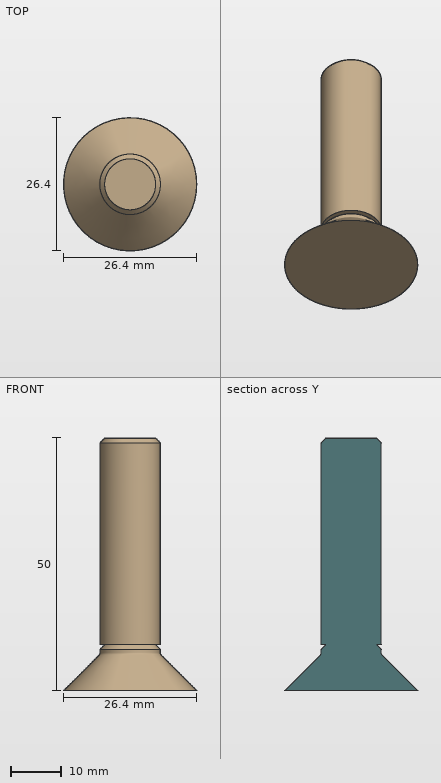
import cadquery as cq
import math

total_length = 50.0
head_radius = 13.2
shank_radius = 6.0
core_radius = 5.05
thread_start = 9.1
underhead_fillet = 0.6
flank_angle = math.radians(45.0)

chamfer = shank_radius - core_radius


def fillet_point(angle):
    """Point on the underhead fillet, turned by angle from its upper end."""
    radius = shank_radius + underhead_fillet * (1 - math.cos(angle))
    return radius, fillet_top - underhead_fillet * math.sin(angle)


fillet_growth = underhead_fillet * (1 - math.cos(flank_angle))
flank_top = (head_radius - shank_radius - fillet_growth) / math.tan(flank_angle)
fillet_top = flank_top + underhead_fillet * math.sin(flank_angle)

half_section = (
    cq.Workplane("XZ")
    .moveTo(0, 0)
    .lineTo(head_radius, 0)
    .lineTo(*fillet_point(flank_angle))
    .threePointArc(fillet_point(flank_angle / 2), fillet_point(0))
    .lineTo(shank_radius, thread_start - chamfer)
    .lineTo(core_radius, thread_start)
    .lineTo(shank_radius, thread_start)
    .lineTo(shank_radius, total_length - chamfer)
    .lineTo(core_radius, total_length)
    .lineTo(0, total_length)
    .close()
)

result = half_section.revolve(360, (0, 0, 0), (0, 1, 0))